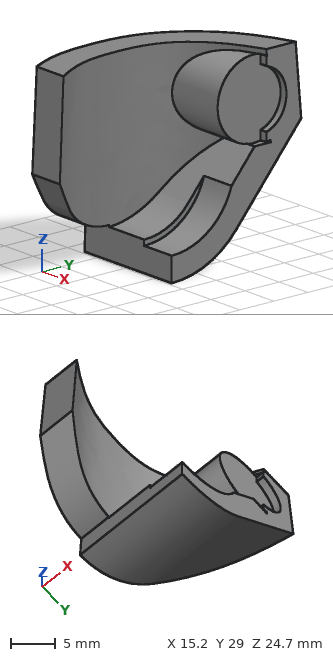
import cadquery as cq
import math

height = 24.7
front_y = -9.97
outer_x = -15.18
past_part = 28.97

outer_curve = [(4.35, 19.47), (0, 18.2), (-6.78, 15.12), (-10.57, 11.6), (-13.38, 6.4),
               (-14.15, 0.3), (-13.27, -6.35), (-11.67, -9.97), (-9.55, -13.33)]
inner_curve = [(3.48, 15.2), (0, 13.9), (-5.33, 11.18), (-8.63, 7.65), (-9.65, 5.21),
               (-10.17, 0.3), (-9.65, -4.32), (-7.0, -9.97), (-4.35, -13.9)]

outer_base_curve = [(4.64, 21.85), (0, 20.4), (-6.98, 16.5), (-11, 12.4), (-14.08, 6.75),
                    (-15.18, 0.3), (-14.25, -7.13), (-12.55, -11.18), (-10.25, -14.95)]
inner_base_curve = [(3.8, 16.75), (0, 15.3), (-5.8, 12.3), (-9.4, 8.4), (-10.5, 5.75),
                    (-11.07, 0.3), (-10.5, -4.75), (-7.62, -10.95), (-4.72, -15.3)]

axis_z = 12.45
back_radius = axis_z
front_radius = 8.29
floor_radius = 8.5
groove_radius = 9.2
groove_length = 4.78
back_slope = math.radians(49.5)
front_chamfer_z = 11.85
front_arc_end = (-6.95, 7.62)

boss_radius = 5.21
boss_y = 12.8
boss_z = 18.83
recess_depth = 1.0
recess_back_y = 13.9
bore_radius = 4.03
shelf_z = boss_z - boss_radius


def tapered_body(curve, base_curve):
    """Solid on the +X side of a wall curve that widens toward the bottom."""

    def close(section, points):
        return (section.spline(points).lineTo(past_part, points[-1][1])
                .lineTo(past_part, points[0][1]).close())

    base = close(cq.Workplane("XY"), base_curve)
    return close(base.workplane(offset=height), curve).loft(ruled=True, combine=True)


def on_arc(radius, angle):
    """Point (y, z) on an arc about the shared axis, measured from straight down."""
    return (radius * math.sin(angle), axis_z - radius * math.cos(angle))


def rising_y(start, z):
    """Y at which the back slope through start reaches height z."""
    return start[0] + (z - start[1]) / math.tan(back_slope)


def cylinder(radius, y, z, length):
    """Cylinder along X ending at the mating face."""
    return cq.Workplane("YZ").center(y, z).circle(radius).extrude(-length)


def side_profile():
    """Side outline: two rounded undersides separated by a step at y = 0."""
    arc_end = on_arc(back_radius, back_slope)
    arc_mid = on_arc(back_radius, back_slope / 2)
    front_mid = on_arc(front_radius, -math.asin(-front_arc_end[0] / front_radius) / 2)
    return (
        cq.Workplane("YZ")
        .moveTo(0, 0)
        .threePointArc(arc_mid, arc_end)
        .lineTo(rising_y(arc_end, height), height)
        .lineTo(front_y, height)
        .lineTo(front_y, front_chamfer_z)
        .lineTo(*front_arc_end)
        .threePointArc(front_mid, (0, axis_z - front_radius))
        .close()
        .extrude(outer_x)
    )


def space_above_floor():
    """Region over the floor: open in front, then an arc, a slope and a flat shelf."""
    arc_end = on_arc(floor_radius, back_slope)
    arc_mid = on_arc(floor_radius, back_slope / 2)
    return (
        cq.Workplane("YZ")
        .moveTo(-past_part, 0)
        .lineTo(0, 0)
        .lineTo(0, axis_z - floor_radius)
        .threePointArc(arc_mid, arc_end)
        .lineTo(rising_y(arc_end, shelf_z), shelf_z)
        .lineTo(past_part, shelf_z)
        .lineTo(past_part, height)
        .lineTo(-past_part, height)
        .close()
        .extrude(outer_x)
    )


def end_recess():
    """Gap between the boss and the mating face, and the bore into the wall behind it."""
    limit = (
        cq.Workplane("XY")
        .box(2 * past_part, past_part, 2 * past_part, centered=(True, False, True))
        .translate((0, recess_back_y - past_part, 0))
    )
    gap = cylinder(boss_radius, boss_y, boss_z, recess_depth).intersect(limit)
    return gap.union(cylinder(bore_radius, boss_y, boss_z, recess_depth))


envelope = tapered_body(outer_curve, outer_base_curve).intersect(side_profile())
hollow = tapered_body(inner_curve, inner_base_curve).intersect(space_above_floor())
groove_space = (
    cylinder(groove_radius, 0, axis_z, groove_length)
    .intersect(
        cq.Workplane("XY")
        .box(2 * past_part, past_part, shelf_z, centered=(True, False, False))
    )
)

shell = envelope.cut(hollow).cut(groove_space)
boss = cylinder(boss_radius, boss_y, boss_z, -outer_x).intersect(envelope)
result = shell.union(boss).cut(end_recess())